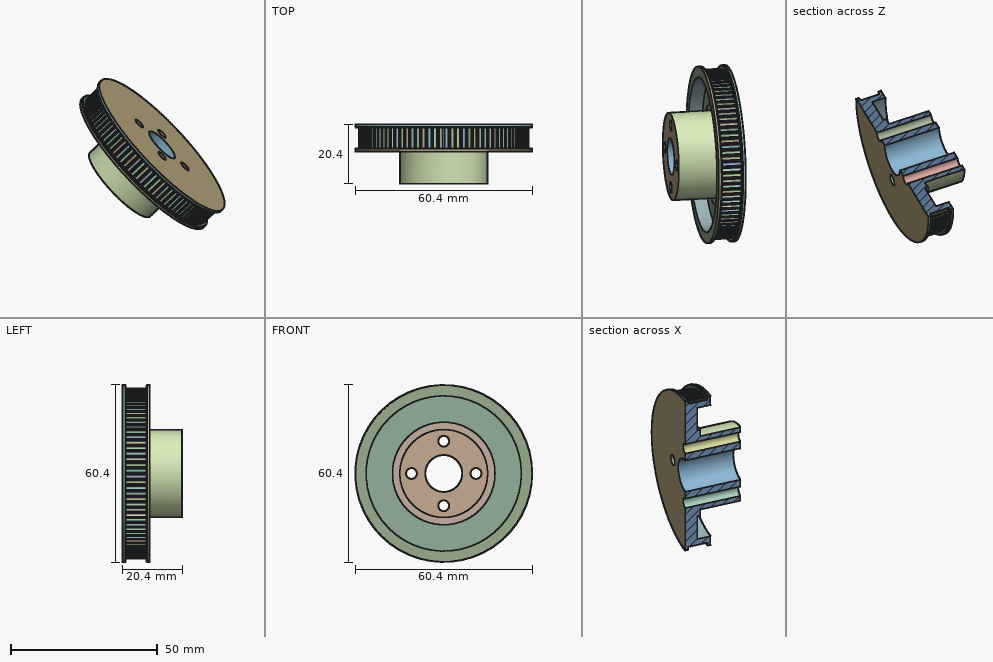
import cadquery as cq
import math

total_length = 20.4
rim_width = 9.4

flange_radius = 30.2
flange_width = 1.2
chamfer_axial = 0.3
chamfer_radial = 0.25

tooth_count = 92
tip_radius = 29.0

mouth_half_width = 0.7
lip_middle = (0.65, 0.05)
flank_top = (0.6, 0.1)
flank_middle = (0.515, 0.35)
flank_bottom = (0.35, 0.6)
groove_depth = 0.8

pocket_diameter = 52.95
pocket_depth = 4.85
step_diameter = 35.0
step_height = 1.0
hub_diameter = 30.0
bore_diameter = 12.5
screw_hole_diameter = 3.6
screw_circle_diameter = 22.0
screw_hole_count = 4

hub_end = rim_width - total_length


def cylinder(diameter, y_start, y_end):
    """Solid cylinder on the Y axis between two Y positions."""
    plane = cq.Workplane("XZ", origin=(0, y_end, 0))
    return plane.circle(diameter / 2).extrude(y_end - y_start)


def flange(outer_y, inward):
    """Flange disc from its outer face; inward (+1 or -1) is the Y direction of the teeth."""
    chamfer_y = outer_y + inward * (flange_width - chamfer_axial)
    inner_y = outer_y + inward * flange_width
    outline = [
        (0, outer_y),
        (flange_radius, outer_y),
        (flange_radius, chamfer_y),
        (flange_radius - chamfer_radial, inner_y),
        (0, inner_y),
    ]
    return cq.Workplane("XY").polyline(outline).close().revolve(360, (0, 0, 0), (0, 1, 0))


def toothed_ring():
    """Ring between the flanges with rounded belt grooves; one tooth is centered on +Z."""
    pitch_angle = 2 * math.pi / tooth_count
    mouth_depth = tip_radius - math.sqrt(tip_radius**2 - mouth_half_width**2)
    mouth = (mouth_half_width, mouth_depth)

    def place(point, groove_index, side):
        """Put a half-groove point on one side (+1 or -1) of a groove."""
        angle = math.pi / 2 + (groove_index + 0.5) * pitch_angle
        across = side * point[0]
        radius = tip_radius - point[1]
        return (
            radius * math.cos(angle) - across * math.sin(angle),
            radius * math.sin(angle) + across * math.cos(angle),
        )

    def tooth_crown(tooth_index):
        """Middle of the tooth tip, half a pitch before the groove of the same index."""
        angle = math.pi / 2 + tooth_index * pitch_angle
        return (tip_radius * math.cos(angle), tip_radius * math.sin(angle))

    outline = cq.Workplane("XZ", origin=(0, rim_width - flange_width, 0))
    outline = outline.moveTo(*place(mouth, 0, -1))
    for index in range(tooth_count):
        outline = (
            outline.threePointArc(place(lip_middle, index, -1), place(flank_top, index, -1))
            .threePointArc(place(flank_middle, index, -1), place(flank_bottom, index, -1))
            .threePointArc(place((0, groove_depth), index, 1), place(flank_bottom, index, 1))
            .threePointArc(place(flank_middle, index, 1), place(flank_top, index, 1))
            .threePointArc(place(lip_middle, index, 1), place(mouth, index, 1))
            .threePointArc(tooth_crown(index + 1), place(mouth, index + 1, -1))
        )
    outline = outline.close().circle(pocket_diameter / 2)
    return outline.extrude(rim_width - 2 * flange_width)


def screw_holes():
    """Holes on a circle around the bore, through the full length."""
    return (
        cq.Workplane("XZ", origin=(0, rim_width, 0))
        .polarArray(screw_circle_diameter / 2, 0, 360, screw_hole_count)
        .circle(screw_hole_diameter / 2)
        .extrude(total_length)
    )


web = cylinder(pocket_diameter, pocket_depth, rim_width)
step = cylinder(step_diameter, pocket_depth - step_height, pocket_depth)
hub = cylinder(hub_diameter, hub_end, pocket_depth)
bore = cylinder(bore_diameter, hub_end, rim_width)
pocket = cylinder(pocket_diameter, 0, rim_width)

center = web.union(step).union(hub).cut(bore).cut(screw_holes())
flanges = flange(0, 1).union(flange(rim_width, -1)).cut(pocket)
result = flanges.union(center).union(toothed_ring())